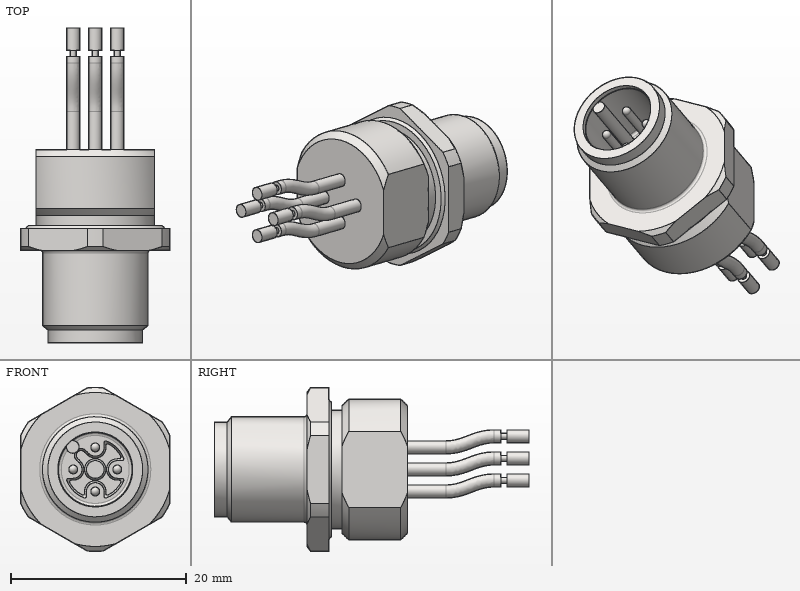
import cadquery as cq
import math

LENGTH = 35.85

NOSE_DIAMETER = 10.8
NOSE_END = 1.47
THREAD_DIAMETER = 12.0
THREAD_CHAMFER_LENGTH = 0.5
HEX_FRONT = 10.55
HEX_THICKNESS = 2.5
HEX_ACROSS_FLATS = 17.0
HEX_CORNER_DIAMETER = 18.68
HEX_FACE_DIAMETER = 17.53
HEX_CHAMFER_LENGTH = 0.43
ROOT_FILLET = 0.32
COLLAR_LARGE_DIAMETER = 15.88
COLLAR_LENGTH = 0.32
NECK_DIAMETER = 13.5
BODY_FRONT = 14.52
BODY_BACK = 22.0
BODY_DIAMETER = 16.05
BODY_CHAMFER = 0.8
BODY_ACROSS_FLATS = NECK_DIAMETER

MOUTH_DIAMETER = 8.55
MOUTH_DEPTH = 0.57
BORE_DIAMETER = 8.4
INSERT_FACE = 8.6
BORE_FLOOR_FILLET = 0.32
CONTACT_OFFSET = 2.5
PIN_DIAMETER = 1.0
PIN_TIP = 2.08
KEY_DIAMETER = 1.45
KEY_OFFSET = 3.62
KEY_ANGLE = 135

RECESS_DEPTH = 0.35
WALL_SPREAD = 0.2
RECESS_DIAMETER = 6.95
RECESS_CORNER_RADIUS = 0.25
LAND_WIDTH = 2.0
CENTRE_BOSS_DIAMETER = 2.0
CHANNEL_WIDTH = 1.5
CHANNEL_END_OFFSET = 2.3

WIRE_DIAMETER = 1.5
CORE_DIAMETER = 0.7
WIRE_RISE = 1.25
BEND_START = 26.35
BEND_END = 31.85
CORE_START = 32.62
CORE_END = 33.3

CONTACT_ANGLES = (0, 90, 180, 270)


def section(y):
    """Workplane across the axis at y, with local x = X, local y = Z and normal -Y."""
    return cq.Workplane("XZ", origin=(0, y, 0))


def polar(offset, angle):
    """(x, z) of a point at an offset from the axis, with the angle in degrees from +X to +Z."""
    return offset * math.cos(math.radians(angle)), offset * math.sin(math.radians(angle))


def cylinder(diameter, y_start, y_end, x=0.0, z=0.0):
    """Round bar along Y between two stations."""
    return section(y_end).center(x, z).circle(diameter / 2).extrude(y_end - y_start)


def revolve_about_axis(profile):
    """Revolve a closed (radius, y) outline about the Y axis."""
    return profile.close().revolve(360, (0, 0, 0), (0, 1, 0))


def make_front():
    """Nose and threaded barrel, flared into the hexagon face by a concave fillet."""
    nose_r = NOSE_DIAMETER / 2
    thread_r = THREAD_DIAMETER / 2
    fillet_start = HEX_FRONT - ROOT_FILLET
    flare_r = thread_r + ROOT_FILLET
    arc_reach = ROOT_FILLET * math.sqrt(0.5)
    profile = (
        cq.Workplane("XY")
        .moveTo(0, 0)
        .lineTo(nose_r, 0)
        .lineTo(nose_r, NOSE_END)
        .lineTo(thread_r, NOSE_END + THREAD_CHAMFER_LENGTH)
        .lineTo(thread_r, fillet_start)
        .threePointArc((flare_r - arc_reach, fillet_start + arc_reach), (flare_r, HEX_FRONT))
        .lineTo(0, HEX_FRONT)
    )
    return revolve_about_axis(profile)


def make_hex_flange():
    """Hexagon with corners up and down, turned at the corners and chamfered in front."""
    hex_back = HEX_FRONT + HEX_THICKNESS
    corner_to_corner = HEX_ACROSS_FLATS / math.cos(math.radians(30))
    prism = (
        section(hex_back)
        .transformed(rotate=(0, 0, 30))
        .polygon(6, corner_to_corner)
        .extrude(HEX_THICKNESS)
    )
    turned = (
        cq.Workplane("XY")
        .moveTo(0, HEX_FRONT)
        .lineTo(HEX_FACE_DIAMETER / 2, HEX_FRONT)
        .lineTo(HEX_CORNER_DIAMETER / 2, HEX_FRONT + HEX_CHAMFER_LENGTH)
        .lineTo(HEX_CORNER_DIAMETER / 2, hex_back)
        .lineTo(0, hex_back)
    )
    return prism.intersect(revolve_about_axis(turned))


def make_collar_and_neck():
    """Tapered collar behind the hexagon and the neck leading to the rear body."""
    collar_front = HEX_FRONT + HEX_THICKNESS
    collar_back = collar_front + COLLAR_LENGTH
    collar_r = COLLAR_LARGE_DIAMETER / 2
    profile = (
        cq.Workplane("XY")
        .moveTo(0, collar_front)
        .lineTo(collar_r, collar_front)
        .lineTo(collar_r - COLLAR_LENGTH, collar_back)
        .lineTo(NECK_DIAMETER / 2, collar_back)
        .lineTo(NECK_DIAMETER / 2, BODY_FRONT)
        .lineTo(0, BODY_FRONT)
    )
    return revolve_about_axis(profile)


def make_rear_body():
    """Round body chamfered at both ends, with a flat on each X side."""
    length = BODY_BACK - BODY_FRONT
    body = cylinder(BODY_DIAMETER, BODY_FRONT, BODY_BACK).edges().chamfer(BODY_CHAMFER)
    between_flats = section(BODY_BACK).rect(BODY_ACROSS_FLATS, BODY_DIAMETER).extrude(length)
    return body.intersect(between_flats)


def make_bore():
    """Socket cavity: wide mouth, then the insert bore with a rounded floor edge."""
    mouth = cylinder(MOUTH_DIAMETER, 0, MOUTH_DEPTH)
    bore = cylinder(BORE_DIAMETER, 0, INSERT_FACE).faces(">Y").edges().fillet(BORE_FLOOR_FILLET)
    return mouth.union(bore)


def is_lobe_corner(edge):
    """True for a recess edge that rises from floor to rim at the outside of a lobe."""
    middle = edge.Center()
    near_rim = math.hypot(middle.x, middle.z) > CONTACT_OFFSET + PIN_DIAMETER / 2
    return near_rim and edge.BoundingBox().ylen > RECESS_DEPTH / 2


def recess_floor(angle=0):
    """Workplane on the recess floor, with its local x turned from +X towards +Z."""
    return section(INSERT_FACE + RECESS_DEPTH).transformed(rotate=(0, 0, angle))


def sloped(outline, spread):
    """Extrude an outline from the recess floor to the insert face, widening by spread per side."""
    return outline.extrude(RECESS_DEPTH, taper=-math.degrees(math.atan2(spread, RECESS_DEPTH)))


def make_recess():
    """Three-lobed recess around the contacts, with a channel towards the coding key."""
    recess = sloped(recess_floor().circle(RECESS_DIAMETER / 2 - WALL_SPREAD), WALL_SPREAD)

    land_run = RECESS_DIAMETER
    land_floor_width = LAND_WIDTH + 2 * WALL_SPREAD
    for angle in CONTACT_ANGLES:
        land = (
            recess_floor(angle)
            .center(CONTACT_OFFSET + land_run / 2, 0)
            .slot2D(land_run + land_floor_width, land_floor_width)
        )
        recess = recess.cut(sloped(land, -WALL_SPREAD))

    narrowest = CONTACT_OFFSET * math.sqrt(0.5)
    solid_sector = (
        recess_floor(KEY_ANGLE)
        .center(narrowest + RECESS_DIAMETER / 2, 0)
        .rect(RECESS_DIAMETER, RECESS_DIAMETER)
        .extrude(RECESS_DEPTH)
    )
    recess = recess.cut(solid_sector)

    corner_edges = recess.edges().filter(is_lobe_corner)
    recess = recess.newObject(corner_edges.vals()).fillet(RECESS_CORNER_RADIUS)

    channel_width = CHANNEL_WIDTH - 2 * WALL_SPREAD
    channel = (
        recess_floor(KEY_ANGLE)
        .center(CHANNEL_END_OFFSET / 2, 0)
        .slot2D(CHANNEL_END_OFFSET + channel_width, channel_width)
    )
    boss = recess_floor().circle(CENTRE_BOSS_DIAMETER / 2 + WALL_SPREAD)
    return recess.union(sloped(channel, WALL_SPREAD)).cut(sloped(boss, -WALL_SPREAD))


def make_pin(x, z):
    """Contact pin with a hemispherical tip."""
    pin_r = PIN_DIAMETER / 2
    tip_centre = PIN_TIP + pin_r
    pin = cylinder(PIN_DIAMETER, tip_centre, INSERT_FACE + RECESS_DEPTH, x, z)
    tip = cq.Workplane("XY").sphere(pin_r).translate((x, tip_centre, z))
    return pin.union(tip)


def make_key():
    """Coding key along the bore wall, kept inside the bore."""
    x, z = polar(KEY_OFFSET, KEY_ANGLE)
    key = cylinder(KEY_DIAMETER, MOUTH_DEPTH, INSERT_FACE + RECESS_DEPTH, x, z)
    return key.intersect(cylinder(NOSE_DIAMETER, 0, LENGTH))


def make_wire(x, z):
    """Wire leaving the rear body, bent upwards and stripped to its core near the end."""
    raised_z = z + WIRE_RISE
    straight = cylinder(WIRE_DIAMETER, BODY_BACK, BEND_START, x, z)
    bend_path = cq.Workplane("XY").spline(
        [(x, BEND_START, z), (x, BEND_END, raised_z)], tangents=[(0, 1, 0), (0, 1, 0)]
    )
    bend = section(BEND_START).center(x, z).circle(WIRE_DIAMETER / 2).sweep(bend_path)
    sleeve = cylinder(WIRE_DIAMETER, BEND_END, CORE_START, x, raised_z)
    core = cylinder(CORE_DIAMETER, CORE_START, CORE_END, x, raised_z)
    end = cylinder(WIRE_DIAMETER, CORE_END, LENGTH, x, raised_z)
    return straight.union(bend).union(sleeve).union(core).union(end)


result = make_front()
for portion in (make_hex_flange(), make_collar_and_neck(), make_rear_body()):
    result = result.union(portion)
result = result.cut(make_bore()).cut(make_recess()).union(make_key())
for contact_angle in CONTACT_ANGLES:
    contact_x, contact_z = polar(CONTACT_OFFSET, contact_angle)
    result = result.union(make_pin(contact_x, contact_z))
    result = result.union(make_wire(contact_x, contact_z))